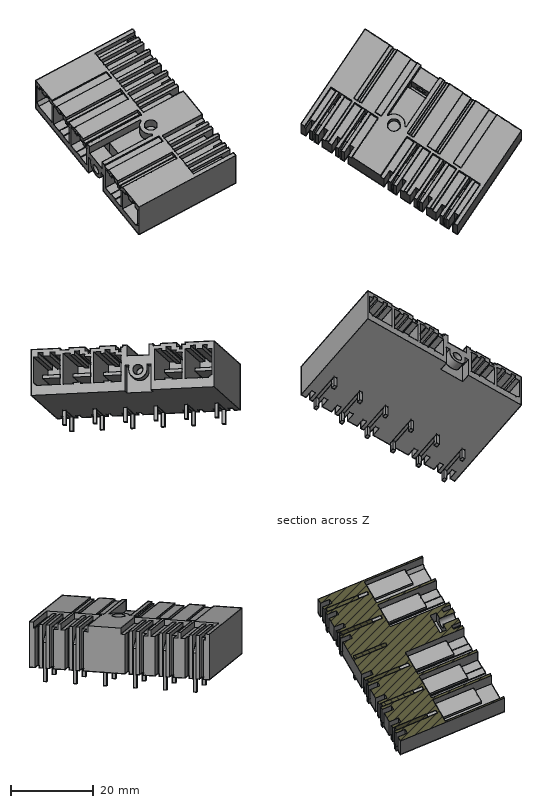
import cadquery as cq


WIDTH = 45.7
DEPTH = 28.3
HEIGHT = 11.45
POSITIONS = 6
PITCH = WIDTH / POSITIONS
FLANGE_INDEX = 3
POLE_INDICES = [i for i in range(POSITIONS) if i != FLANGE_INDEX]

CAVITY_DEPTH = 15.85
CAVITY_HALF_WIDTH = 3.45
CAVITY_FLOOR = 2.42
CAVITY_ROOF = 9.65
NOTCH_ROOF = 10.55
INNER_LEFT_ROOF = 10.1
INNER_LEFT_STEP = 1.7
INNER_RIGHT_ROOF = 9.0
INNER_RIGHT_STEP = 1.9
INNER_NOTCH_HALF_WIDTH = 0.65
BUMP_HALF_WIDTH = 0.9
BUMP_HEIGHT = 0.3
OUTER_WALL_X = 3.25
OUTER_NOTCH_NEAR = 0.85
OUTER_NOTCH_FAR = 2.1
OUTER_WALL_ROOF = 9.5
OUTER_INNER_ROOF = 9.8
CORNER_CHAMFER_X = 0.9
CORNER_CHAMFER_Z = 0.75

CODING_LENGTH = CAVITY_DEPTH
CODING_LEFT = -1.8
CODING_GROOVE_LEFT = -1.0
CODING_GROOVE_RIGHT = -0.5
CODING_RIGHT = 1.85
CODING_END_MARGIN = 0.4
LEDGE_Z = 10.42
GROOVE_Z = 9.85
SHALLOW_Z = 10.95
CODING_LIMITS = {
    1: (-CODING_END_MARGIN, CODING_RIGHT),
    2: (CODING_LEFT, CODING_RIGHT),
    3: (CODING_LEFT, 0.0),
    4: (0.0, CODING_RIGHT),
    5: (CODING_LEFT, CODING_END_MARGIN),
}

POCKET_FRONT_Y = 16.65
POCKET_DEPTH = 1.5
RIB_DROP = 0.5
POCKET_HALF_WIDTH = 3.45
POCKET_OUTER_HALF_WIDTH = 2.75
RIB_OUTER_X = 1.3
NOTCH_OUTER_X = 2.4
NOTCH_FRONT_Y = 25.8

FLANGE_HALF_WIDTH = 2.75
FLANGE_FLOOR = 8.75
FLANGE_BACK_Y = 14.75
POST_Y = 16.05
POST_RADIUS = 2.75
POST_HOLE_RADIUS = 1.55
RECESS_HALF_WIDTH = 3.25
RECESS_TOP = 6.4
RECESS_DEPTH = 2.4
BOSS_RADIUS = 2.3
BOSS_HOLE_RADIUS = 1.25
BOSS_Z = 5.2
NUT_WIDTH = 5.4
NUT_FRONT_Y = 4.15
NUT_BACK_Y = 5.75

SHEET = 0.82
LEG_LENGTH = 3.47
LEG_WIDTH = 1.0
LEG_SPACING = PITCH
LEG_REAR_Y = 27.75
PLATE_FRONT_Y = LEG_REAR_Y - LEG_SPACING - LEG_WIDTH
PLATE_STEP_Y = 21.65
PLATE_SLOPE_Y = 25.45
PLATE_TOP = 8.7
PLATE_STEP_TOP = 7.3
PLATE_REAR_TOP = 6.4
BLADE_BOTTOM = 5.25
BLADE_TOP = BLADE_BOTTOM + SHEET
BLADE_HALF_WIDTH = 2.2
BLADE_TIP_Y = 5.5


def block(x_range, y_range, z_range):
    """Box given by its limits along each axis."""
    (x0, x1), (y0, y1), (z0, z1) = x_range, y_range, z_range
    return cq.Workplane("XY").box(x1 - x0, y1 - y0, z1 - z0, centered=False).translate((x0, y0, z0))


def position_x(index):
    """Centre line of a position, counted from the left end."""
    return (index + 0.5) * PITCH - WIDTH / 2


def boundary_x(index):
    """Boundary on the left of a position."""
    return index * PITCH - WIDTH / 2


def cavity(outline):
    """Plug cavity with the given front outline, open at the front face."""
    return cq.Workplane("XZ").polyline(outline).close().extrude(-CAVITY_DEPTH)


def inner_cavity():
    """Cavity of a pole away from the ends, with a low bump on its floor."""
    return cavity([
        (-CAVITY_HALF_WIDTH, CAVITY_FLOOR),
        (-CAVITY_HALF_WIDTH, INNER_LEFT_ROOF),
        (-INNER_LEFT_STEP, INNER_LEFT_ROOF),
        (-INNER_LEFT_STEP, CAVITY_ROOF),
        (-INNER_NOTCH_HALF_WIDTH, CAVITY_ROOF),
        (-INNER_NOTCH_HALF_WIDTH, NOTCH_ROOF),
        (INNER_NOTCH_HALF_WIDTH, NOTCH_ROOF),
        (INNER_NOTCH_HALF_WIDTH, CAVITY_ROOF),
        (INNER_RIGHT_STEP, CAVITY_ROOF),
        (INNER_RIGHT_STEP, INNER_RIGHT_ROOF),
        (CAVITY_HALF_WIDTH, INNER_RIGHT_ROOF),
        (CAVITY_HALF_WIDTH, CAVITY_FLOOR),
        (BUMP_HALF_WIDTH, CAVITY_FLOOR),
        (BUMP_HALF_WIDTH, CAVITY_FLOOR + BUMP_HEIGHT),
        (-BUMP_HALF_WIDTH, CAVITY_FLOOR + BUMP_HEIGHT),
        (-BUMP_HALF_WIDTH, CAVITY_FLOOR),
    ])


def end_cavity():
    """Cavity of the leftmost pole; the rightmost pole uses its mirror image."""
    return cavity([
        (-OUTER_WALL_X, CAVITY_FLOOR + CORNER_CHAMFER_Z),
        (-OUTER_WALL_X, OUTER_WALL_ROOF),
        (-OUTER_NOTCH_FAR, OUTER_WALL_ROOF),
        (-OUTER_NOTCH_FAR, NOTCH_ROOF),
        (-OUTER_NOTCH_NEAR, NOTCH_ROOF),
        (-OUTER_NOTCH_NEAR, CAVITY_ROOF),
        (OUTER_NOTCH_NEAR, CAVITY_ROOF),
        (OUTER_NOTCH_NEAR, NOTCH_ROOF),
        (OUTER_NOTCH_FAR, NOTCH_ROOF),
        (OUTER_NOTCH_FAR, OUTER_INNER_ROOF),
        (CAVITY_HALF_WIDTH, OUTER_INNER_ROOF),
        (CAVITY_HALF_WIDTH, CAVITY_FLOOR),
        (-OUTER_WALL_X + CORNER_CHAMFER_X, CAVITY_FLOOR),
    ])


def rear_pocket(left, right):
    """Shallow pocket around the two ribs, with a through notch at the rear on each side of them."""
    pocket = block((left, right), (POCKET_FRONT_Y, DEPTH), (HEIGHT - POCKET_DEPTH, HEIGHT))
    ribs = block((-RIB_OUTER_X, RIB_OUTER_X), (0, DEPTH), (0, HEIGHT - RIB_DROP))
    pocket = pocket.cut(ribs)
    for x_range in [(-NOTCH_OUTER_X, -RIB_OUTER_X), (RIB_OUTER_X, NOTCH_OUTER_X)]:
        pocket = pocket.union(block(x_range, (NOTCH_FRONT_Y, DEPTH), (0, HEIGHT)))
    return pocket


def contact_slot():
    """Slot between the ribs: full height around the contact plate, and down to the blade before it."""
    x_range = (-SHEET / 2, SHEET / 2)
    plate_slot = block(x_range, (PLATE_FRONT_Y, DEPTH), (0, HEIGHT))
    return plate_slot.union(block(x_range, (POCKET_FRONT_Y, PLATE_FRONT_Y), (BLADE_TOP, HEIGHT)))


def coding_slot(left, right):
    """Open-front slot in the top face; a ledge and a deeper groove appear where it reaches them."""
    y_range = (0, CODING_LENGTH)
    slot = block((max(left, CODING_GROOVE_RIGHT), right), y_range, (SHALLOW_Z, HEIGHT))
    if left <= CODING_LEFT:
        ledge = block((CODING_LEFT, CODING_GROOVE_LEFT), y_range, (LEDGE_Z, HEIGHT))
        groove = block((CODING_GROOVE_LEFT, CODING_GROOVE_RIGHT), y_range, (GROOVE_Z, HEIGHT))
        slot = slot.union(ledge).union(groove)
    return slot


def cut_flange(body):
    """Screw flange: top pocket with a screw post, front boss in a recess, and a nut slot behind it."""
    x_range = (-FLANGE_HALF_WIDTH, FLANGE_HALF_WIDTH)
    pocket = block(x_range, (0, FLANGE_BACK_Y), (FLANGE_FLOOR, HEIGHT))
    post = cq.Workplane("XY").center(0, POST_Y).circle(POST_RADIUS).extrude(HEIGHT)
    post_hole = (
        cq.Workplane("XY", origin=(0, POST_Y, FLANGE_FLOOR))
        .circle(POST_HOLE_RADIUS)
        .extrude(HEIGHT - FLANGE_FLOOR)
    )

    recess = block((-RECESS_HALF_WIDTH, RECESS_HALF_WIDTH), (0, RECESS_DEPTH), (0, RECESS_TOP))
    boss = cq.Workplane("XZ").center(0, BOSS_Z).circle(BOSS_RADIUS).extrude(-RECESS_DEPTH)
    boss = boss.union(block((-BOSS_RADIUS, BOSS_RADIUS), (0, RECESS_DEPTH), (BOSS_Z, RECESS_TOP)))
    boss_hole = cq.Workplane("XZ").center(0, BOSS_Z).circle(BOSS_HOLE_RADIUS).extrude(-NUT_FRONT_Y)

    nut_slot = block(
        (-NUT_WIDTH / 2, NUT_WIDTH / 2),
        (NUT_FRONT_Y, NUT_BACK_Y),
        (BOSS_Z - NUT_WIDTH / 2, FLANGE_FLOOR),
    )
    for cutter in [pocket.cut(post), post_hole, recess.cut(boss), boss_hole, nut_slot]:
        body = body.cut(cutter.translate((position_x(FLANGE_INDEX), 0, 0)))
    return body


def contact_plate():
    """Upright sheet with a stepped top edge and two solder legs."""
    front_leg_rear_y = PLATE_FRONT_Y + LEG_WIDTH
    rear_leg_front_y = LEG_REAR_Y - LEG_WIDTH
    outline = [
        (PLATE_FRONT_Y, -LEG_LENGTH),
        (PLATE_FRONT_Y, PLATE_STEP_TOP),
        (PLATE_STEP_Y, PLATE_STEP_TOP),
        (PLATE_STEP_Y, PLATE_TOP),
        (PLATE_SLOPE_Y, PLATE_TOP),
        (LEG_REAR_Y, PLATE_REAR_TOP),
        (LEG_REAR_Y, -LEG_LENGTH),
        (rear_leg_front_y, -LEG_LENGTH),
        (rear_leg_front_y, 0),
        (front_leg_rear_y, 0),
        (front_leg_rear_y, -LEG_LENGTH),
    ]
    return cq.Workplane("YZ").polyline(outline).close().extrude(SHEET / 2, both=True)


def pole_contact():
    """Contact plate with a flat blade reaching forward into the cavity."""
    blade = block(
        (-BLADE_HALF_WIDTH, BLADE_HALF_WIDTH),
        (BLADE_TIP_Y, PLATE_FRONT_Y),
        (BLADE_BOTTOM, BLADE_TOP),
    )
    return contact_plate().union(blade)


def make_housing(contacts):
    """Housing with every cavity and slot, and a fitting recess for each contact."""
    body = block((-WIDTH / 2, WIDTH / 2), (0, DEPTH), (0, HEIGHT))

    end_pole = end_cavity().union(rear_pocket(-POCKET_OUTER_HALF_WIDTH, POCKET_HALF_WIDTH))
    inner_pole = inner_cavity().union(rear_pocket(-POCKET_HALF_WIDTH, POCKET_HALF_WIDTH))
    for i in POLE_INDICES:
        if i == 0:
            pole = end_pole
        elif i == POSITIONS - 1:
            pole = end_pole.mirror("YZ")
        else:
            pole = inner_pole
        body = body.cut(pole.union(contact_slot()).translate((position_x(i), 0, 0)))

    for i, (left, right) in CODING_LIMITS.items():
        body = body.cut(coding_slot(left, right).translate((boundary_x(i), 0, 0)))

    body = cut_flange(body)

    for contact in contacts:
        body = body.cut(contact)
    return body


pole_contacts = [pole_contact().translate((position_x(i), 0, 0)) for i in POLE_INDICES]
anchor = contact_plate().translate((position_x(FLANGE_INDEX), 0, 0))

housing = make_housing(pole_contacts + [anchor])
result = cq.Compound.makeCompound(
    [housing.val(), anchor.val()] + [contact.val() for contact in pole_contacts]
)